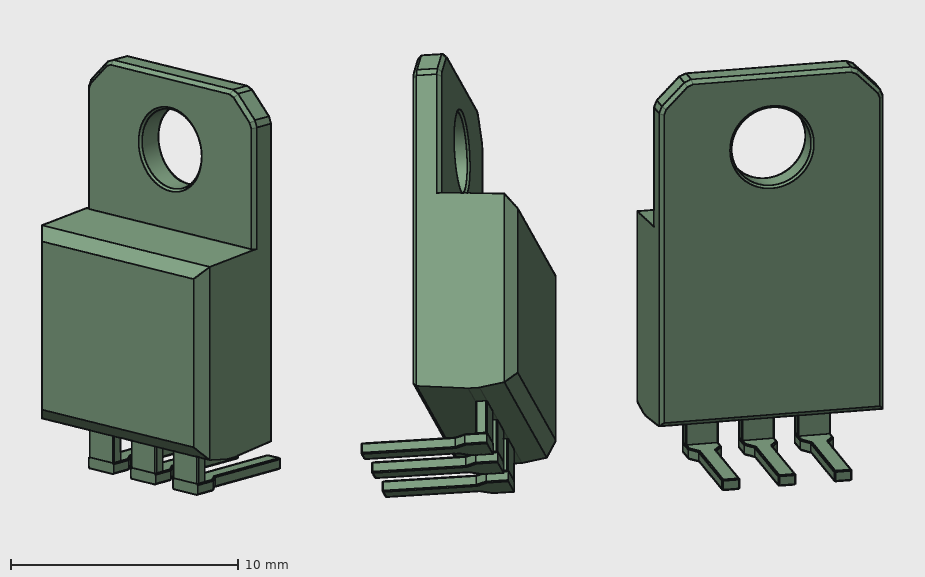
import cadquery as cq


package_width = 10.16
package_depth = 4.62
total_height = 18.18

tab_thickness = 1.27
tab_corner_cut = 1.27
edge_chamfer = 0.18
hole_radius = 1.8
hole_chamfer = 0.1
hole_height = 14.82

housing_bottom = 1.98
housing_top = 11.18
top_ledge = 0.05
front_chamfer = 0.5
top_slope = 1 / 13
bottom_front_slope = 1 / 6.3
bottom_back_slope = 1 / 9

lead_pitch = 2.55
lead_width = 1.5
lead_thickness = 0.5
lead_front = -3.0
lead_back = lead_front + lead_thickness
foot_tip_width = 0.8
foot_tip = 2.7
taper_start = -2.02
taper_end = -1.5
metal_chamfer = 0.05
lead_positions = [i * lead_pitch for i in (-1, 0, 1)]


def make_housing_block():
    """Moulded block with sloped ends and a bevelled front face."""
    ledge_front = -tab_thickness - top_ledge
    top_front = housing_top - top_slope * (package_depth + ledge_front)
    bottom_front = housing_bottom + bottom_front_slope * (package_depth + lead_front)
    bottom_back = housing_bottom - bottom_back_slope * lead_back
    side_outline = [
        (0, housing_top),
        (ledge_front, housing_top),
        (-package_depth, top_front),
        (-package_depth, bottom_front),
        (lead_front, housing_bottom),
        (lead_back, housing_bottom),
        (0, bottom_back),
    ]
    block = (
        cq.Workplane("YZ")
        .polyline(side_outline)
        .close()
        .extrude(package_width / 2, both=True)
    )
    block = block.faces("<Y").chamfer(front_chamfer)
    back_edges = block.faces(">Y").edges("|Z or <Z")
    return back_edges.chamfer(edge_chamfer)


def make_tab():
    """Upright plate with cut, blunted corners and chamfered edges."""
    tab_height = total_height - housing_top
    tab = (
        cq.Workplane("XY")
        .box(package_width, tab_thickness, tab_height, centered=(True, False, False))
        .translate((0, -tab_thickness, housing_top))
    )
    tab = tab.edges("|Y and >Z").chamfer(tab_corner_cut)
    lower_corners = "(<X or >X) and <Z"
    tab = tab.edges("|Y").edges(f"not ({lower_corners})").chamfer(edge_chamfer)
    rims = tab.faces("<Y or >Y").edges("not <Z")
    return rims.chamfer(edge_chamfer)


def make_mounting_hole():
    """Cutter for the through hole, flared at both faces of the tab."""
    rim_radius = hole_radius + hole_chamfer
    profile = [
        (0, 0),
        (rim_radius, 0),
        (hole_radius, -hole_chamfer),
        (hole_radius, hole_chamfer - tab_thickness),
        (rim_radius, -tab_thickness),
        (0, -tab_thickness),
    ]
    cutter = cq.Workplane("XY").polyline(profile).close().revolve(360, (0, 0, 0), (0, 1, 0))
    return cutter.translate((0, 0, hole_height))


def make_housing():
    """Housing block and mounting tab as one body."""
    package = make_housing_block().union(make_tab())
    return package.cut(make_mounting_hole())


def make_lead(x):
    """Upright lead from the foot to the flat on the housing underside."""
    lead = (
        cq.Workplane("XY")
        .box(lead_width, lead_thickness, housing_bottom - lead_thickness, centered=(True, False, False))
        .edges("|Z")
        .chamfer(metal_chamfer)
    )
    return lead.translate((x, lead_front, lead_thickness))


def make_foot(x):
    """Flat foot that narrows behind the lead and runs out to the back."""
    right_side = [
        (lead_width / 2, lead_front),
        (lead_width / 2, taper_start),
        (foot_tip_width / 2, taper_end),
        (foot_tip_width / 2, foot_tip),
    ]
    left_side = [(-px, py) for px, py in reversed(right_side)]
    foot = cq.Workplane("XY").polyline(right_side + left_side).close().extrude(lead_thickness)
    foot = foot.edges("|Z and >Y").chamfer(metal_chamfer)
    foot = foot.faces("<Z or >Z").edges("not <Y").chamfer(metal_chamfer)
    return foot.translate((x, 0, 0))


housing = make_housing()
leads = [make_lead(x) for x in lead_positions]
feet = [make_foot(x) for x in lead_positions]

result = cq.Compound.makeCompound(
    [housing.val()]
    + [lead.val() for lead in leads]
    + [foot.val() for foot in feet]
)